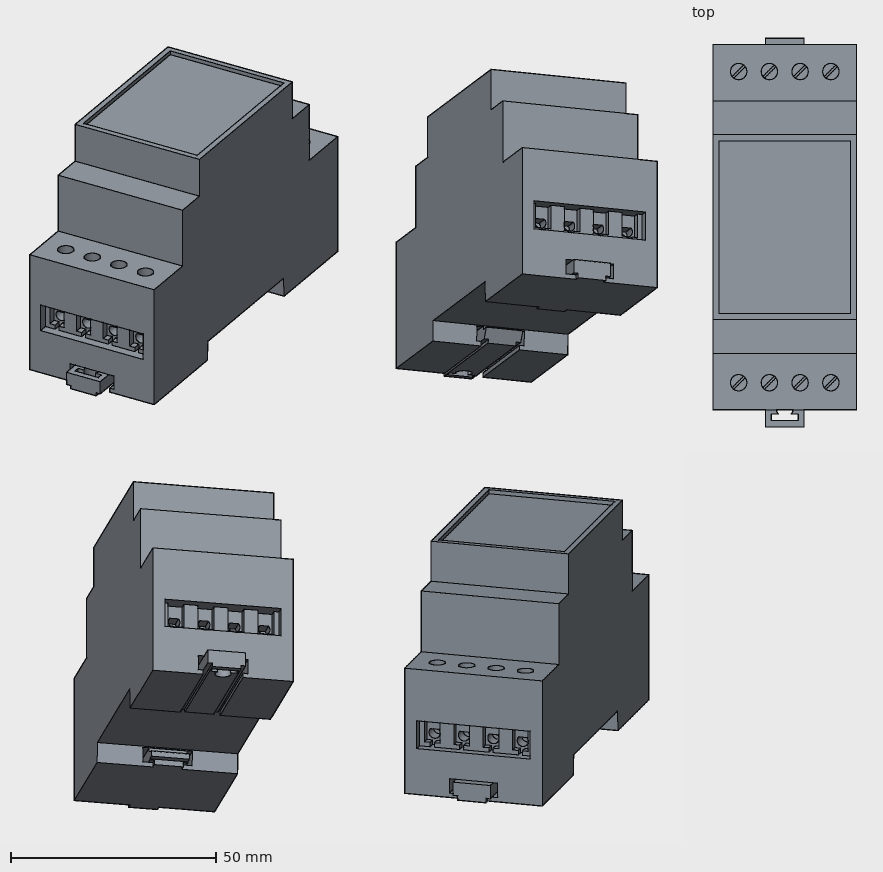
import cadquery as cq

HOUSING_WIDTH = 35.0
LATCH_REACH = 4.2
HOUSING_LENGTH = 89.0
HOUSING_HEIGHT = 57.8
MID_Y = LATCH_REACH + HOUSING_LENGTH / 2
FRONT_Y = LATCH_REACH
REAR_Y = FRONT_Y + HOUSING_LENGTH
LOW_TIER_Z = 32.0
MID_TIER_Z = 47.5
MID_TIER_LENGTH = 61.5
TOP_TIER_LENGTH = 45.1

RAIL_DEPTH = 5.1
RAIL_FRONT_TOP_Y = 30.3
RAIL_FRONT_BASE_Y = 30.0
RAIL_REAR_TOP_Y = 66.9
RAIL_REAR_BASE_Y = 67.1

LABEL_MARGIN = 1.5
LABEL_DEPTH = 1.0

TERMINAL_COUNT = 4
TERMINAL_PITCH = 7.5
SCREW_DIAMETER = 4.0
SCREW_INSET = 6.6
SCREW_HOLE_DEPTH = 5.7
DRIVER_SLOT_WIDTH = 0.6
DRIVER_SLOT_DEPTH = 0.5
DRIVER_SLOT_ANGLE = 45.0

WINDOW_WIDTH = 28.9
WINDOW_FLOOR_Z = 11.7
WINDOW_TOP_Z = 18.8
WINDOW_DEPTH = 2.4
CELL_WIDTH = 4.0
CELL_FLOOR_Z = 12.9
CELL_DEPTH = 2.0
NOTCH_WIDTH = 1.0
WIRE_HOLE_DIAMETER = 2.8
WIRE_HOLE_Z = 14.8
WIRE_HOLE_FLAT_Z = 15.7
WIRE_HOLE_DEPTH = 3.8

CHANNEL_WIDTH = 12.3
CHANNEL_TOP_Z = 4.8
LIP_HEIGHT = 1.1
FRONT_MOUTH_WIDTH = 9.9

BAR_WIDTH = 9.5
TONGUE_WIDTH = 7.2

CATCH_TOP_Z = 4.5
CATCH_END_Y = 94.7
CATCH_SHOULDER_Y = 66.3
CATCH_SHOULDER_Z = 3.7
CATCH_TIP_Y = 63.7
CATCH_TIP_LENGTH = 0.6
CATCH_TIP_TOP_Z = 2.8
CATCH_TIP_BASE_Z = 1.4
CATCH_TONGUE_END_Y = 65.5

LATCH_BAR_BASE_Z = 1.4
LATCH_TONGUE_BASE_Z = 0.6
LATCH_NECK_Y = 31.1
LATCH_TIP_Y = 33.05
LATCH_TIP_Z = 4.0
PULL_SLOT_WIDTH = 6.5
PULL_SLOT_FRONT_Y = 1.6
PULL_SLOT_REAR_Y = 3.1
PULL_HOLE_DIAMETER = 4.0
PULL_HOLE_Y = 4.4


def box(width, y_start, y_end, z_start, z_end, x=0.0):
    """A box centred on x, given by its limits in Y and Z."""
    block = cq.Workplane("XY").box(
        width, y_end - y_start, z_end - z_start, centered=(True, False, False)
    )
    return block.translate((x, y_start, z_start))


def side_prism(points, width):
    """A Y-Z outline extruded to a width centred on X = 0."""
    return cq.Workplane("YZ").polyline(points).close().extrude(width / 2, both=True)


def tier(length, top_z):
    return box(HOUSING_WIDTH, MID_Y - length / 2, MID_Y + length / 2, 0, top_z)


def rail_recess():
    outline = [
        (RAIL_FRONT_BASE_Y, 0),
        (RAIL_FRONT_TOP_Y, RAIL_DEPTH),
        (RAIL_REAR_TOP_Y, RAIL_DEPTH),
        (RAIL_REAR_BASE_Y, 0),
    ]
    return side_prism(outline, HOUSING_WIDTH)


def label_recess():
    half_length = TOP_TIER_LENGTH / 2 - LABEL_MARGIN
    width = HOUSING_WIDTH - 2 * LABEL_MARGIN
    floor_z = HOUSING_HEIGHT - LABEL_DEPTH
    return box(width, MID_Y - half_length, MID_Y + half_length, floor_z, HOUSING_HEIGHT)


def screw_hole(x, y):
    """Blind hole whose bottom is a screw head with a slanted driver slot."""
    bottom_z = LOW_TIER_Z - SCREW_HOLE_DEPTH
    radius = SCREW_DIAMETER / 2
    hole = cq.Workplane("XY").circle(radius).extrude(SCREW_HOLE_DEPTH)
    driver_slot = (
        cq.Workplane("XY")
        .rect(SCREW_DIAMETER, DRIVER_SLOT_WIDTH)
        .extrude(-DRIVER_SLOT_DEPTH)
        .rotate((0, 0, 0), (0, 0, 1), DRIVER_SLOT_ANGLE)
        .intersect(cq.Workplane("XY").circle(radius).extrude(-DRIVER_SLOT_DEPTH))
    )
    return hole.union(driver_slot).translate((x, y, bottom_z))


def wire_hole(x, y):
    """Blind round hole along +Y with a flat top."""
    radius = WIRE_HOLE_DIAMETER / 2
    end_y = y + WIRE_HOLE_DEPTH
    bore = cq.Workplane("XZ", origin=(x, y, WIRE_HOLE_Z)).circle(radius).extrude(-WIRE_HOLE_DEPTH)
    return bore.intersect(box(WIRE_HOLE_DIAMETER, y, end_y, WIRE_HOLE_Z - radius, WIRE_HOLE_FLAT_Z, x))


def terminal_xs():
    first = -TERMINAL_PITCH * (TERMINAL_COUNT - 1) / 2
    return [first + i * TERMINAL_PITCH for i in range(TERMINAL_COUNT)]


def wiring_cuts():
    """Wiring window in the -Y face, with a cell, a notch and a wire hole per terminal."""
    window_back_y = FRONT_Y + WINDOW_DEPTH
    cell_back_y = window_back_y + CELL_DEPTH
    cuts = box(WINDOW_WIDTH, FRONT_Y, window_back_y, WINDOW_FLOOR_Z, WINDOW_TOP_Z)
    for x in terminal_xs():
        cuts = cuts.union(box(CELL_WIDTH, window_back_y, cell_back_y, CELL_FLOOR_Z, WINDOW_TOP_Z, x))
        cuts = cuts.union(box(NOTCH_WIDTH, window_back_y, cell_back_y, WINDOW_FLOOR_Z, CELL_FLOOR_Z, x))
        cuts = cuts.union(wire_hole(x, cell_back_y))
    return cuts


def channel(y_start, y_end, mouth_width):
    slot = box(CHANNEL_WIDTH, y_start, y_end, LIP_HEIGHT, CHANNEL_TOP_Z)
    return slot.union(box(mouth_width, y_start, y_end, 0, LIP_HEIGHT))


def fixed_catch():
    """Rear catch bar, whose tongue fills the mouth of the rear channel."""
    bar_outline = [
        (CATCH_END_Y, LIP_HEIGHT),
        (CATCH_END_Y, CATCH_TOP_Z),
        (CATCH_SHOULDER_Y, CATCH_TOP_Z),
        (CATCH_SHOULDER_Y, CATCH_SHOULDER_Z),
        (CATCH_TIP_Y + CATCH_TIP_LENGTH, CATCH_TIP_TOP_Z),
        (CATCH_TIP_Y, CATCH_TIP_TOP_Z),
        (CATCH_TIP_Y, CATCH_TIP_BASE_Z),
        (CATCH_TONGUE_END_Y, CATCH_TIP_BASE_Z),
        (CATCH_TONGUE_END_Y, LIP_HEIGHT),
    ]
    tongue = box(TONGUE_WIDTH, CATCH_TONGUE_END_Y, CATCH_END_Y, 0, LIP_HEIGHT)
    return side_prism(bar_outline, BAR_WIDTH).union(tongue)


def make_housing():
    body = tier(HOUSING_LENGTH, LOW_TIER_Z)
    body = body.union(tier(MID_TIER_LENGTH, MID_TIER_Z))
    body = body.union(tier(TOP_TIER_LENGTH, HOUSING_HEIGHT))
    body = body.cut(rail_recess()).cut(label_recess())
    for x in terminal_xs():
        for y in (FRONT_Y + SCREW_INSET, REAR_Y - SCREW_INSET):
            body = body.cut(screw_hole(x, y))
    front_wiring = wiring_cuts()
    rear_wiring = front_wiring.mirror("XZ", (0, MID_Y, 0))
    body = body.cut(front_wiring).cut(rear_wiring)
    body = body.cut(channel(FRONT_Y, RAIL_FRONT_TOP_Y, FRONT_MOUTH_WIDTH))
    body = body.cut(channel(RAIL_REAR_TOP_Y, REAR_Y, TONGUE_WIDTH))
    return body.union(fixed_catch())


def make_latch():
    """Sliding bar with a sloped hook at its inner end and a pull slot at its outer end."""
    slope = (LATCH_TIP_Y - LATCH_NECK_Y) / (LATCH_TIP_Z - LATCH_TONGUE_BASE_Z)
    bar_base_end_y = LATCH_NECK_Y + slope * (LATCH_BAR_BASE_Z - LATCH_TONGUE_BASE_Z)
    bar_outline = [
        (0, LATCH_BAR_BASE_Z),
        (0, CHANNEL_TOP_Z),
        (LATCH_NECK_Y, CHANNEL_TOP_Z),
        (LATCH_NECK_Y, LATCH_TIP_Z),
        (LATCH_TIP_Y, LATCH_TIP_Z),
        (bar_base_end_y, LATCH_BAR_BASE_Z),
    ]
    tongue_outline = [
        (0, LATCH_TONGUE_BASE_Z),
        (0, LATCH_BAR_BASE_Z),
        (bar_base_end_y, LATCH_BAR_BASE_Z),
        (LATCH_NECK_Y, LATCH_TONGUE_BASE_Z),
    ]
    body = side_prism(bar_outline, BAR_WIDTH).union(side_prism(tongue_outline, TONGUE_WIDTH))
    pull_slot = box(PULL_SLOT_WIDTH, PULL_SLOT_FRONT_Y, PULL_SLOT_REAR_Y, 0, CHANNEL_TOP_Z)
    pull_hole = cq.Workplane("XY", origin=(0, PULL_HOLE_Y, 0)).circle(PULL_HOLE_DIAMETER / 2)
    pull_hole = pull_hole.extrude(CHANNEL_TOP_Z)
    return body.cut(pull_slot).cut(pull_hole)


housing = make_housing()
latch = make_latch()

result = cq.Compound.makeCompound([housing.val(), latch.val()])